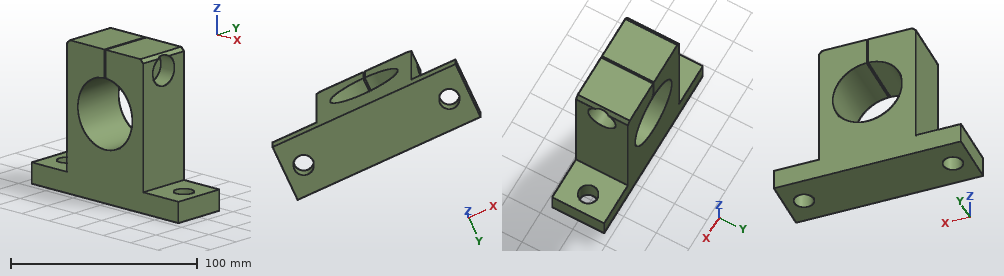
import cadquery as cq

foot_length = 108.0
depth = 32.0
foot_height = 12.0
mount_hole_diameter = 11.0
mount_hole_spacing = 86.0

total_height = 86.0
block_width = 56.0
top_chamfer = 2.0
bore_diameter = 40.0
bore_height = 50.0
slit_width = 1.0

recess_diameter = 17.0
recess_depth = 10.0
recess_height = 76.5


def make_foot():
    foot = cq.Workplane("XY").box(foot_length, depth, foot_height, centered=(True, True, False))
    return (
        foot.faces(">Z").workplane()
        .rarray(mount_hole_spacing, 1.1, 2, 1)
        .hole(mount_hole_diameter)
    )


def make_block():
    block = cq.Workplane("XY").box(block_width, depth, total_height, centered=(True, True, False))
    return block.faces(">Z").edges("|Y").chamfer(top_chamfer)


def make_bore():
    return (
        cq.Workplane("XZ")
        .center(0, bore_height)
        .circle(bore_diameter / 2)
        .extrude(depth / 2, both=True)
    )


def make_slit():
    slit_height = total_height - bore_height
    return (
        cq.Workplane("XY", origin=(0, 0, bore_height))
        .box(slit_width, depth, slit_height, centered=(True, True, False))
    )


def make_screw_recess():
    return (
        cq.Workplane("YZ", origin=(block_width / 2 - recess_depth, 0, recess_height))
        .circle(recess_diameter / 2)
        .extrude(recess_depth)
    )


result = make_foot().union(make_block()).cut(make_bore()).cut(make_slit()).cut(make_screw_recess())